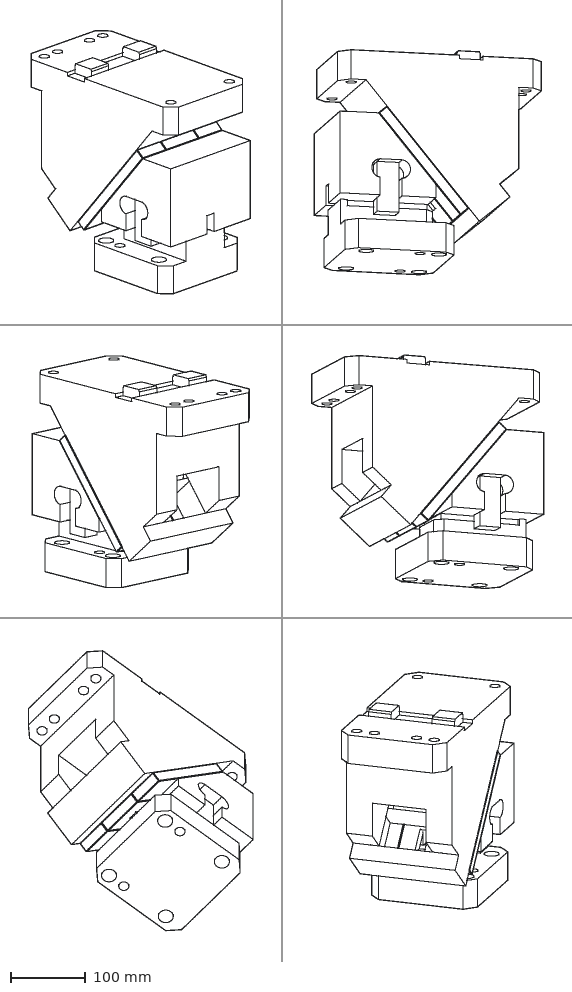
import cadquery as cq
import math


SLOPE = 50.0
COS = math.cos(math.radians(SLOPE))
SIN = math.sin(math.radians(SLOPE))
TIP_X = 88.9
TIP_Z = 44.5

WIDTH = 150.0
CORNER = 15.0
PLATE_HEIGHT = 40.0

DRIVER_LENGTH = 280.0
DRIVER_TOP = 270.0
DRIVER_PLATE_BOTTOM = DRIVER_TOP - PLATE_HEIGHT
DRIVER_BACK_X = 34.5
LIP_HEIGHT = 55.0
LIP_LENGTH = 22.2
DRIVER_BOLT_D = 13.5
BOLT_INSET = 20.0
BOLT_Y_OUTER = 55.0
BOLT_Y_INNER = 30.0

KEY_X = 84.0
KEY_SIZE = 32.0
KEY_Y = 45.0
KEY_TOP = 279.0
KEY_CHAMFER_X = 1.5
KEY_CHAMFER_Z = 3.0
GROOVE_DEPTH = 5.0

WINDOW_WIDTH = 76.0
WINDOW_TOP = 165.5
SLOT_WIDTH = 100.0
SLOT_END = 77.0
STOP_WIDTH = 61.0
STOP_TOP_Z = 160.0
STOP_CHAMFER = 2.0

SLIDER_LEFT = 148.5
SLIDER_RIGHT = DRIVER_LENGTH
SLIDER_BOTTOM = 73.7
SLIDER_TOP = 185.5
WEAR_PLATE_THICKNESS = 15.0
WEAR_PLATE_END = 197.2
WEAR_PLATE_CHAMFER = 1.0
WEAR_STRIP_WIDTH = 61.5
SPRING_SLOT_WIDTH = 13.5
SPRING_SLOT_TOP = 100.0

KEEPER_X = 210.0
KEEPER_WIDTH = 30.0
KEEPER_BOTTOM = 55.0
KEEPER_TOP = 123.0
KEEPER_FACE_Y = 57.5
OVAL_LENGTH = 53.0
OVAL_HEIGHT = 25.0

BASE_LEFT = 120.0
BASE_LENGTH = 150.0
BASE_RIGHT = BASE_LEFT + BASE_LENGTH
RAIL_WIDTH = 72.0
RAIL_LEFT = 141.5
RAIL_TOP = 65.2
RAIL_CORNER = 10.5
PAD_LEFT = 150.0
PAD_RIGHT = 260.8
PAD_WIDTH = 60.0
BASE_HOLE_Y = 57.5
BASE_BOLT_D = 20.0
BASE_BOLT_X = (BASE_LEFT + 20.0, BASE_RIGHT - 30.0)
BASE_DOWEL_D = 13.5
BASE_DOWEL_X = BASE_LEFT + 46.0


def slope_point(along, out):
    """XZ point at a distance along the sliding plane and out of it."""
    return TIP_X + along * COS - out * SIN, TIP_Z + along * SIN + out * COS


def slope_point_at_z(z, out):
    """XZ point of a given height on a line parallel to the sliding plane."""
    return slope_point((z - TIP_Z - out * COS) / SIN, out)


def prism(points, width):
    """XZ outline extruded to a width centred on Y = 0."""
    return cq.Workplane("XZ").polyline(points).close().extrude(width / 2, both=True)


def block(x0, x1, y0, y1, z0, z1):
    return cq.Workplane("XY").box(x1 - x0, y1 - y0, z1 - z0, centered=False).translate((x0, y0, z0))


def slope_block(along0, along1, out0, out1, width):
    """Rectangular bar aligned with the sliding plane."""
    corners = [(along0, out0), (along1, out0), (along1, out1), (along0, out1)]
    return prism([slope_point(*corner) for corner in corners], width)


def vertical_holes(points, diameter, depth):
    return cq.Workplane("XY").pushPoints(points).circle(diameter / 2).extrude(depth)


def make_key(y):
    key = block(KEY_X, KEY_X + KEY_SIZE, y - KEY_SIZE / 2, y + KEY_SIZE / 2,
                DRIVER_TOP - GROOVE_DEPTH, KEY_TOP)
    return key.faces(">Z").edges("|Y").chamfer(KEY_CHAMFER_Z, KEY_CHAMFER_X)


def make_driver_pocket():
    """Slot from the sliding plane up to lip height, and the narrower window above it."""
    slot = slope_block(LIP_LENGTH, SLOT_END, 0, LIP_HEIGHT, SLOT_WIDTH)
    lip_corner = slope_point(LIP_LENGTH, LIP_HEIGHT)
    ledge_end = slope_point_at_z(WINDOW_TOP, LIP_HEIGHT)
    window = prism([lip_corner, ledge_end, (0, WINDOW_TOP), (0, lip_corner[1])], WINDOW_WIDTH)
    return slot.union(window).cut(make_stop(ledge_end))


def make_stop(ledge_end):
    """Upright stop on the ledge past the slot; its sloped top is chamfered along both sides."""
    front_x, front_z = slope_point(SLOT_END, LIP_HEIGHT)
    top_run = (WINDOW_TOP - STOP_TOP_Z) * COS / SIN
    stop = prism([
        (front_x, front_z),
        (front_x, STOP_TOP_Z),
        (front_x + top_run, WINDOW_TOP),
        ledge_end,
    ], STOP_WIDTH)
    sloped_top = stop.faces(f">({-SIN}, 0, {COS})")
    return sloped_top.edges("not |Y").chamfer(STOP_CHAMFER)


def make_driver():
    corner_x, corner_z = slope_point(LIP_LENGTH, LIP_HEIGHT)
    plate_start_x, plate_start_z = slope_point_at_z(DRIVER_PLATE_BOTTOM, 0)
    back_z = corner_z + (corner_x - DRIVER_BACK_X) * COS / SIN
    body = prism([
        (DRIVER_BACK_X, DRIVER_TOP),
        (DRIVER_BACK_X, back_z),
        (corner_x, corner_z),
        slope_point(0, LIP_HEIGHT),
        (TIP_X, TIP_Z),
        (plate_start_x, plate_start_z),
        (plate_start_x, DRIVER_TOP),
    ], WIDTH)

    plate = block(0, DRIVER_LENGTH, -WIDTH / 2, WIDTH / 2, DRIVER_PLATE_BOTTOM, DRIVER_TOP)
    plate = plate.edges("|Z").chamfer(CORNER)
    driver = body.union(plate)

    driver = driver.cut(make_driver_pocket())
    driver = driver.cut(block(KEY_X, KEY_X + KEY_SIZE, -WIDTH / 2, WIDTH / 2,
                              DRIVER_TOP - GROOVE_DEPTH, DRIVER_TOP))

    bolts = []
    for side in (-1, 1):
        bolts.append((BOLT_INSET, side * BOLT_Y_OUTER))
        bolts.append((BOLT_INSET, side * BOLT_Y_INNER))
        bolts.append((DRIVER_LENGTH - BOLT_INSET, side * BOLT_Y_OUTER))
        driver = driver.union(make_key(side * KEY_Y))
    return driver.cut(vertical_holes(bolts, DRIVER_BOLT_D, DRIVER_TOP))


def make_wear_strip(width, y):
    strip = slope_block(LIP_LENGTH, WEAR_PLATE_END, -WEAR_PLATE_THICKNESS, 0, width)
    return strip.edges().chamfer(WEAR_PLATE_CHAMFER).translate((0, y, 0))


def make_wear_plate():
    """Centre strip and two side strips, edge to edge, with all edges broken."""
    side_width = (WIDTH - WEAR_STRIP_WIDTH) / 2
    plate = make_wear_strip(WEAR_STRIP_WIDTH, 0)
    for side in (-1, 1):
        plate = plate.union(make_wear_strip(side_width, side * (WIDTH - side_width) / 2))
    return plate


def make_keeper_recess(side):
    """Oval pocket with a shallower open slot below it, cut into one flank."""
    flank_y = side * WIDTH / 2
    rail_y = side * RAIL_WIDTH / 2
    face_y = side * KEEPER_FACE_Y
    oval = (
        cq.Workplane("XZ", origin=(KEEPER_X, max(flank_y, rail_y), KEEPER_TOP - OVAL_HEIGHT / 2))
        .slot2D(OVAL_LENGTH, OVAL_HEIGHT)
        .extrude(abs(flank_y - rail_y))
    )
    slot = block(KEEPER_X - KEEPER_WIDTH / 2, KEEPER_X + KEEPER_WIDTH / 2,
                 min(flank_y, face_y), max(flank_y, face_y), SLIDER_BOTTOM, KEEPER_TOP)
    return oval.union(slot)


def make_keeper(side):
    rail_y = side * RAIL_WIDTH / 2
    face_y = side * KEEPER_FACE_Y
    return block(KEEPER_X - KEEPER_WIDTH / 2, KEEPER_X + KEEPER_WIDTH / 2,
                 min(rail_y, face_y), max(rail_y, face_y), KEEPER_BOTTOM, KEEPER_TOP)


def make_slider():
    low_along = (SLIDER_LEFT - TIP_X - WEAR_PLATE_THICKNESS * SIN) / COS
    slider = prism([
        (SLIDER_LEFT, SLIDER_BOTTOM),
        (SLIDER_RIGHT, SLIDER_BOTTOM),
        (SLIDER_RIGHT, SLIDER_TOP),
        slope_point_at_z(SLIDER_TOP, -WEAR_PLATE_THICKNESS),
        slope_point(low_along, -WEAR_PLATE_THICKNESS),
    ], WIDTH)
    slider = slider.union(make_wear_plate())
    slider = slider.cut(block(0, SLIDER_RIGHT, -SPRING_SLOT_WIDTH / 2, SPRING_SLOT_WIDTH / 2,
                              SLIDER_BOTTOM, SPRING_SLOT_TOP))
    for side in (-1, 1):
        slider = slider.cut(make_keeper_recess(side))
        slider = slider.union(make_keeper(side))
    return slider


def make_base():
    half_rail = RAIL_WIDTH / 2
    base = block(BASE_LEFT, BASE_RIGHT, -WIDTH / 2, WIDTH / 2, 0, PLATE_HEIGHT)
    base = base.edges("|Z").chamfer(CORNER)

    rail = block(RAIL_LEFT, BASE_RIGHT, -half_rail, half_rail, PLATE_HEIGHT, RAIL_TOP)
    rail = rail.edges("|Z and <X").chamfer(RAIL_CORNER)
    stop = block(PAD_RIGHT, BASE_RIGHT, -half_rail, half_rail, RAIL_TOP, SLIDER_BOTTOM)
    pad = block(PAD_LEFT, PAD_RIGHT, -PAD_WIDTH / 2, PAD_WIDTH / 2, RAIL_TOP, SLIDER_BOTTOM)
    base = base.union(rail).union(stop).union(pad)

    sides = (-BASE_HOLE_Y, BASE_HOLE_Y)
    bolts = [(x, y) for x in BASE_BOLT_X for y in sides]
    dowels = [(BASE_DOWEL_X, y) for y in sides]
    base = base.cut(vertical_holes(bolts, BASE_BOLT_D, PLATE_HEIGHT))
    return base.cut(vertical_holes(dowels, BASE_DOWEL_D, PLATE_HEIGHT))


driver = make_driver()
slider = make_slider()
base = make_base()

result = cq.Compound.makeCompound([body.solids().val() for body in (driver, slider, base)])